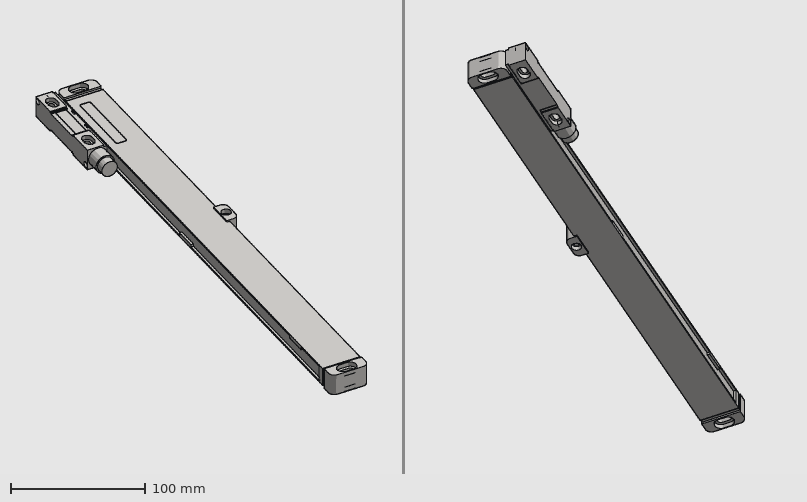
import cadquery as cq

LENGTH = 425.0
HEIGHT = 18.0
MID_Z = HEIGHT / 2

HOUSING_FRONT_Y = 17.5
HOUSING_BACK_Y = 49.5
HOUSING_MID_Y = (HOUSING_FRONT_Y + HOUSING_BACK_Y) / 2
CAP_LENGTH = 11.5
CAP_CORNER_RADIUS = 5.0
BEAM_END_GAP = 2.5
BEAM_INSET = 1.3
NECK_INSET = 0.5

CHANNEL_END_MARGIN = 19.0
CHANNEL_DEPTH = 2.0
RAIL_HEIGHT = 1.3
CLIP_LENGTH = 18.0
CLIP_HEIGHT = 3.5
LOWER_CLIP_X = 199.0
UPPER_CLIP_X = 369.0

LABEL_START_X = 23.5
LABEL_LENGTH = 57.5
LABEL_WIDTH = 9.0
LABEL_FRONT_Y = 24.2
LABEL_CORNER_RADIUS = 1.3
LABEL_DEPTH = 0.5

CAP_SLOT_INSET = 5.5
CAP_SLOT_LENGTH = 11.0
CAP_SLOT_WIDTH = 5.0
CAP_SLOT_BORE_MARGIN = 2.35
CAP_SLOT_BORE_DEPTH = 4.0

LUG_CENTER_X = 199.8
LUG_WIDTH = 20.5
LUG_FRONT_Y = 46.8
LUG_BACK_Y = 57.0
LUG_CORNER_RADIUS = 4.5
LUG_HOLE_Y = 52.0
LUG_HOLE_DIAMETER = 4.5
LUG_BORE_DIAMETER = 7.5
LUG_BORE_DEPTH = 4.0

HEAD_LENGTH = 79.5
HEAD_BACK_Y = 16.5
HEAD_STEP_Y = 14.0
HEAD_RELIEF = 1.5
WAIST_START_X = 22.0
WAIST_END_X = 57.5
SHOULDER_DEPTH = 1.05
PANEL_START_X = 23.5
PANEL_END_X = 55.2
PANEL_FRONT_Y = 4.0
PANEL_BACK_Y = 12.8
PANEL_CORNER_RADIUS = 1.3
PANEL_DEPTH = 0.5

NOTCH_START_XS = (27.0, 47.5)
NOTCH_LENGTH = 4.2
NOTCH_WIDTH = 1.3
NOTCH_DEPTH = 1.3

HEAD_SLOT_XS = (12.5, 68.0)
HEAD_SLOT_Y = 7.2
HEAD_SLOT_LENGTH = 8.5
HEAD_SLOT_WIDTH = 4.2
HEAD_SLOT_BORE_MARGIN = 1.9
HEAD_SLOT_BORE_DEPTH = 4.0

SCREW_HOLE_DIAMETER = 4.5
SCREW_HOLE_EDGE_X = 2.75
SCREW_HOLE_EDGE_Z = 3.0
SCREW_HOLE_DEPTH = 8.5

GLAND_Y = 9.0
GLAND_DIAMETER = 15.7
GLAND_LENGTH = 11.5
SLEEVE_DIAMETER = 13.0
SLEEVE_LENGTH = 7.0


def block(x_range, y_range, z_range):
    """Rectangular block between two limits on each axis."""
    corner = (x_range[0], y_range[0], z_range[0])
    sizes = [high - low for low, high in (x_range, y_range, z_range)]
    return cq.Workplane("XY").box(*sizes, centered=False).translate(corner)


def slot_prism(x, y, length, width, z_range, angle):
    """Upright prism with a stadium outline."""
    prism = cq.Workplane("XY").slot2D(length, width, angle).extrude(z_range[1] - z_range[0])
    return prism.translate((x, y, z_range[0]))


def counterbored_slot(x, y, length, width, margin, bore_depth, angle):
    """Through slot with a counterbore at the top and at the bottom."""
    cutter = slot_prism(x, y, length, width, (0, HEIGHT), angle)
    for z_range in ((0, bore_depth), (HEIGHT - bore_depth, HEIGHT)):
        bore = slot_prism(x, y, length + 2 * margin, width + 2 * margin, z_range, angle)
        cutter = cutter.union(bore)
    return cutter


def upright_cylinder(x, y, diameter, z_range):
    cylinder = cq.Workplane("XY").circle(diameter / 2).extrude(z_range[1] - z_range[0])
    return cylinder.translate((x, y, z_range[0]))


def make_caps():
    """Two end caps cut from one rounded slab."""
    slab = block((0, LENGTH), (HOUSING_FRONT_Y, HOUSING_BACK_Y), (0, HEIGHT))
    slab = slab.edges("|Z").fillet(CAP_CORNER_RADIUS)
    gap = block((CAP_LENGTH, LENGTH - CAP_LENGTH), (HOUSING_FRONT_Y, HOUSING_BACK_Y), (0, HEIGHT))
    return slab.cut(gap)


def make_beam():
    """Beam with its front channel, flush clips and label recess."""
    start = CAP_LENGTH + BEAM_END_GAP
    bottom = BEAM_INSET
    top = HEIGHT - BEAM_INSET
    beam = block((start, LENGTH - start), (HOUSING_FRONT_Y, HOUSING_BACK_Y), (bottom, top))

    channel_y = (HOUSING_FRONT_Y, HOUSING_FRONT_Y + CHANNEL_DEPTH)
    channel = block(
        (CHANNEL_END_MARGIN, LENGTH - CHANNEL_END_MARGIN),
        channel_y,
        (bottom + RAIL_HEIGHT, top - RAIL_HEIGHT),
    )
    beam = beam.cut(channel)
    for x, z_range in (
        (LOWER_CLIP_X, (bottom, bottom + CLIP_HEIGHT)),
        (UPPER_CLIP_X, (top - CLIP_HEIGHT, top)),
    ):
        beam = beam.union(block((x - CLIP_LENGTH / 2, x + CLIP_LENGTH / 2), channel_y, z_range))

    label = block(
        (LABEL_START_X, LABEL_START_X + LABEL_LENGTH),
        (LABEL_FRONT_Y, LABEL_FRONT_Y + LABEL_WIDTH),
        (top - LABEL_DEPTH, top),
    )
    return beam.cut(label.edges("|Z").fillet(LABEL_CORNER_RADIUS))


def make_necks():
    """Short necks that join the ends of the beam to the caps."""
    bottom = BEAM_INSET + NECK_INSET
    y_range = (HOUSING_FRONT_Y + NECK_INSET, HOUSING_BACK_Y - NECK_INSET)
    necks = []
    for start in (CAP_LENGTH, LENGTH - CAP_LENGTH - BEAM_END_GAP):
        necks.append(block((start, start + BEAM_END_GAP), y_range, (bottom, HEIGHT - bottom)))
    return necks[0].union(necks[1])


def make_lug():
    """Full-height lug with rounded back corners."""
    half_width = LUG_WIDTH / 2
    x_range = (LUG_CENTER_X - half_width, LUG_CENTER_X + half_width)
    lug = block(x_range, (LUG_FRONT_Y, LUG_BACK_Y), (0, HEIGHT))
    return lug.edges("|Z and >Y").fillet(LUG_CORNER_RADIUS)


def make_lug_hole():
    """Cutter for the lug hole, counterbored at the top and at the bottom."""
    hole = upright_cylinder(LUG_CENTER_X, LUG_HOLE_Y, LUG_HOLE_DIAMETER, (0, HEIGHT))
    for z_range in ((0, LUG_BORE_DEPTH), (HEIGHT - LUG_BORE_DEPTH, HEIGHT)):
        hole = hole.union(upright_cylinder(LUG_CENTER_X, LUG_HOLE_Y, LUG_BORE_DIAMETER, z_range))
    return hole


def make_housing():
    housing = make_beam().union(make_necks()).union(make_caps()).union(make_lug())
    housing = housing.cut(make_lug_hole())
    for x in (CAP_SLOT_INSET, LENGTH - CAP_SLOT_INSET):
        slot = counterbored_slot(
            x, HOUSING_MID_Y, CAP_SLOT_LENGTH, CAP_SLOT_WIDTH,
            CAP_SLOT_BORE_MARGIN, CAP_SLOT_BORE_DEPTH, 90,
        )
        housing = housing.cut(slot)
    return housing


def make_head_block():
    """Block with relieved back edges, a stepped waist, a recessed panel and two notches."""
    core = block((0, HEAD_LENGTH), (0, HEAD_BACK_Y), (HEAD_RELIEF, HEIGHT - HEAD_RELIEF))
    for x_range in ((0, WAIST_START_X), (WAIST_END_X, HEAD_LENGTH)):
        core = core.union(block(x_range, (0, HEAD_STEP_Y), (0, HEIGHT)))
    for x_range in ((WAIST_START_X, PANEL_START_X), (PANEL_END_X, WAIST_END_X)):
        shoulder_z = (SHOULDER_DEPTH, HEIGHT - SHOULDER_DEPTH)
        core = core.union(block(x_range, (0, HEAD_STEP_Y), shoulder_z))

    panel_top = HEIGHT - HEAD_RELIEF
    panel = block(
        (PANEL_START_X, PANEL_END_X),
        (PANEL_FRONT_Y, PANEL_BACK_Y),
        (panel_top - PANEL_DEPTH, panel_top),
    )
    core = core.cut(panel.edges("|Z").fillet(PANEL_CORNER_RADIUS))
    for start in NOTCH_START_XS:
        notch = block(
            (start, start + NOTCH_LENGTH),
            (HEAD_BACK_Y - NOTCH_WIDTH, HEAD_BACK_Y),
            (panel_top - NOTCH_DEPTH, panel_top),
        )
        core = core.cut(notch)
    return core


def cylinder_along(plane, center, diameter, length):
    """Cylinder from a center point along the normal of a named plane."""
    return cq.Workplane(plane, origin=center).circle(diameter / 2).extrude(length)


def make_head():
    head = make_head_block()
    for x in HEAD_SLOT_XS:
        slot = counterbored_slot(
            x, HEAD_SLOT_Y, HEAD_SLOT_LENGTH, HEAD_SLOT_WIDTH,
            HEAD_SLOT_BORE_MARGIN, HEAD_SLOT_BORE_DEPTH, 0,
        )
        head = head.cut(slot)
    for x, z in (
        (SCREW_HOLE_EDGE_X, HEIGHT - SCREW_HOLE_EDGE_Z),
        (HEAD_LENGTH - SCREW_HOLE_EDGE_X, SCREW_HOLE_EDGE_Z),
    ):
        head = head.cut(cylinder_along("XZ", (x, 0, z), SCREW_HOLE_DIAMETER, -SCREW_HOLE_DEPTH))

    gland_end_x = HEAD_LENGTH + GLAND_LENGTH
    gland = cylinder_along("YZ", (HEAD_LENGTH, GLAND_Y, MID_Z), GLAND_DIAMETER, GLAND_LENGTH)
    sleeve = cylinder_along("YZ", (gland_end_x, GLAND_Y, MID_Z), SLEEVE_DIAMETER, SLEEVE_LENGTH)
    return head.union(gland).union(sleeve)


housing = make_housing()
head = make_head()

result = cq.Compound.makeCompound([housing.val(), head.val()])